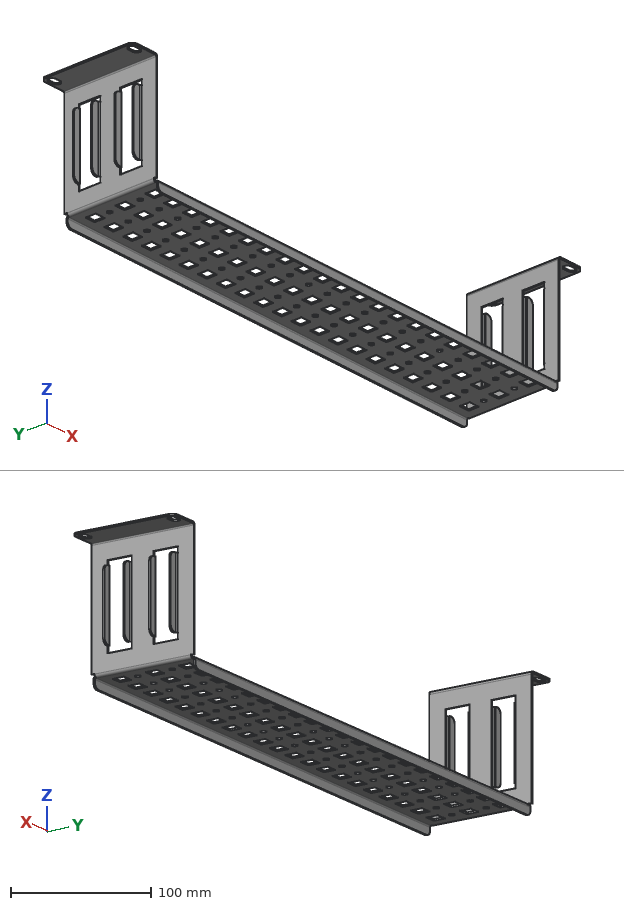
import cadquery as cq

length = 482.0
width = 87.5
height = 109.0

thickness = 1.5
inner_radius = 1.0
outer_radius = inner_radius + thickness

ear_length = 26.5
floor_depth = 100.0
wall_inner_x = length / 2 - ear_length
wall_outer_x = wall_inner_x + thickness
floor_bottom_z = -floor_depth - thickness

ear_corner_radius = 5.0
slot_length = 11.5
slot_height = 6.7
slot_x = length / 2 - 8.0
slot_y = 38.0

lip_half_length = wall_inner_x - inner_radius
lip_corner_radius = 4.5

window_width = 20.5
window_height = 69.5
window_top_depth = 16.0
window_y = 20.0
window_z = -window_top_depth - window_height / 2
flap_height = 60.0
flap_reach = 7.0
flap_corner_radius = 5.0
flap_inner_radius = 1.0
flap_outer_radius = flap_inner_radius + thickness

column_count = 21
column_span = 400.0
column_pitch = column_span / (column_count - 1)
square_rows = 3
square_size = 9.5
square_row_pitch = 28.5
round_rows = 2
round_diameter = 4.5
round_row_pitch = 29.5


def box(x_range, y_range, z_range):
    """Axis-aligned block between the given limits."""
    size = [high - low for low, high in (x_range, y_range, z_range)]
    corner = (x_range[0], y_range[0], z_range[0])
    return cq.Workplane("XY").box(*size, centered=False).translate(corner)


def both_ends(shape):
    """The shape together with its mirror image at the other end of the part."""
    return shape.union(shape.mirror("YZ"))


def bent_strip():
    """Ears, walls and floor as one folded sheet of constant width."""
    half_profile = (
        cq.Workplane("XZ", origin=(0, width / 2, 0))
        .moveTo(0, -floor_depth)
        .lineTo(wall_inner_x - inner_radius, -floor_depth)
        .radiusArc((wall_inner_x, -floor_depth + inner_radius), -inner_radius)
        .lineTo(wall_inner_x, -outer_radius)
        .radiusArc((wall_inner_x + outer_radius, 0), outer_radius)
        .lineTo(length / 2, 0)
        .lineTo(length / 2, -thickness)
        .lineTo(wall_inner_x + outer_radius, -thickness)
        .radiusArc((wall_outer_x, -outer_radius), -inner_radius)
        .lineTo(wall_outer_x, -floor_depth + inner_radius)
        .radiusArc((wall_inner_x - inner_radius, floor_bottom_z), outer_radius)
        .lineTo(0, floor_bottom_z)
        .close()
    )
    strip = both_ends(half_profile.extrude(width))
    return strip.edges("|Z").edges("<X or >X").fillet(ear_corner_radius)


def ear_slots():
    """Rack mounting slots, two through each ear."""
    places = [(x, y) for x in (-slot_x, slot_x) for y in (-slot_y, slot_y)]
    return (
        cq.Workplane("XY")
        .pushPoints(places)
        .slot2D(slot_length, slot_height)
        .extrude(-thickness)
    )


def edge_clearance():
    """Material removed along one long edge to make room for the lip and its bend."""
    bend_y = width / 2 - outer_radius
    return box(
        (-wall_outer_x, wall_outer_x),
        (bend_y, width / 2),
        (floor_bottom_z, -floor_depth + inner_radius),
    )


def lip():
    """Lip folded down from the floor along the +Y edge."""
    bend_y = width / 2 - outer_radius
    section = (
        cq.Workplane("YZ", origin=(-lip_half_length, 0, 0))
        .moveTo(bend_y, -floor_depth)
        .radiusArc((width / 2, -floor_depth - outer_radius), outer_radius)
        .lineTo(width / 2, -height)
        .lineTo(width / 2 - thickness, -height)
        .lineTo(width / 2 - thickness, -floor_depth - outer_radius)
        .radiusArc((bend_y, floor_bottom_z), -inner_radius)
        .close()
    )
    blank = section.extrude(2 * lip_half_length)
    return blank.edges("|Y and <Z").edges("<X or >X").fillet(lip_corner_radius)


def window():
    """Opening through the +X wall on its +Y side."""
    return box(
        (wall_inner_x, wall_outer_x),
        (window_y - window_width / 2, window_y + window_width / 2),
        (window_z - window_height / 2, window_z + window_height / 2),
    )


def flap():
    """Flap folded outward from the window edge nearest the middle of the +Y window."""
    edge_y = window_y - window_width / 2
    tip_x = wall_outer_x + flap_reach
    section = (
        cq.Workplane("XY", origin=(0, 0, window_z - flap_height / 2))
        .moveTo(wall_inner_x, edge_y)
        .radiusArc((wall_inner_x + flap_outer_radius, edge_y + flap_outer_radius), -flap_outer_radius)
        .lineTo(tip_x, edge_y + flap_outer_radius)
        .lineTo(tip_x, edge_y + flap_inner_radius)
        .lineTo(wall_inner_x + flap_outer_radius, edge_y + flap_inner_radius)
        .radiusArc((wall_outer_x, edge_y), flap_inner_radius)
        .close()
    )
    return section.extrude(flap_height).edges("|Y and >X").fillet(flap_corner_radius)


def flap_pair():
    """Flaps on both upright edges of the +Y window."""
    inner_flap = flap()
    outer_flap = inner_flap.mirror("XZ").translate((0, 2 * window_y, 0))
    return inner_flap.union(outer_flap)


def floor_holes():
    """Grid of square holes with rows of round holes between them."""
    floor = cq.Workplane("XY", origin=(0, 0, -floor_depth))
    squares = (
        floor.rarray(column_pitch, square_row_pitch, column_count, square_rows)
        .rect(square_size, square_size)
        .extrude(-thickness)
    )
    rounds = (
        floor.rarray(column_pitch, round_row_pitch, column_count, round_rows)
        .circle(round_diameter / 2)
        .extrude(-thickness)
    )
    return squares.add(rounds).combine()


result = bent_strip().cut(ear_slots()).cut(floor_holes())

for feature_cut in (edge_clearance(), both_ends(window())):
    result = result.cut(feature_cut).cut(feature_cut.mirror("XZ"))

for feature_add in (lip(), both_ends(flap_pair())):
    result = result.union(feature_add).union(feature_add.mirror("XZ"))